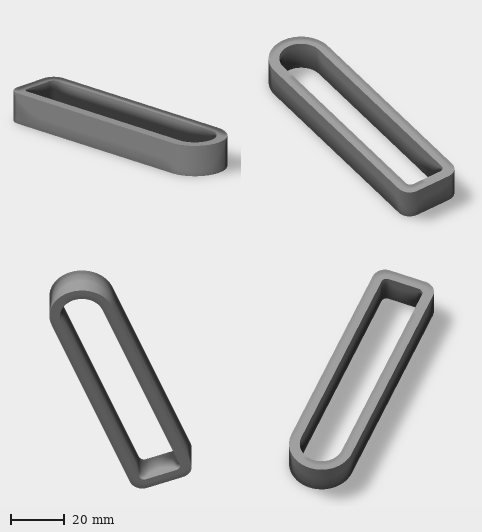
import cadquery as cq

length = 97.2
width = 24.2
height = 12.0
wall = 4.0
outer_corner_radius = 5.0
inner_corner_radius = 2.0


def rounded_bar(bar_length, bar_width, corner_radius):
    """Solid bar with a full round at +X and two rounded corners at -X."""
    end_radius = bar_width / 2
    straight_length = bar_length - end_radius
    left = -bar_length / 2
    right = left + straight_length
    return (
        cq.Workplane("XY")
        .moveTo(left, -end_radius)
        .lineTo(right, -end_radius)
        .threePointArc((bar_length / 2, 0), (right, end_radius))
        .lineTo(left, end_radius)
        .close()
        .extrude(height)
        .edges("|Z and <X")
        .fillet(corner_radius)
    )


outer = rounded_bar(length, width, outer_corner_radius)
opening = rounded_bar(length - 2 * wall, width - 2 * wall, inner_corner_radius)
result = outer.cut(opening)